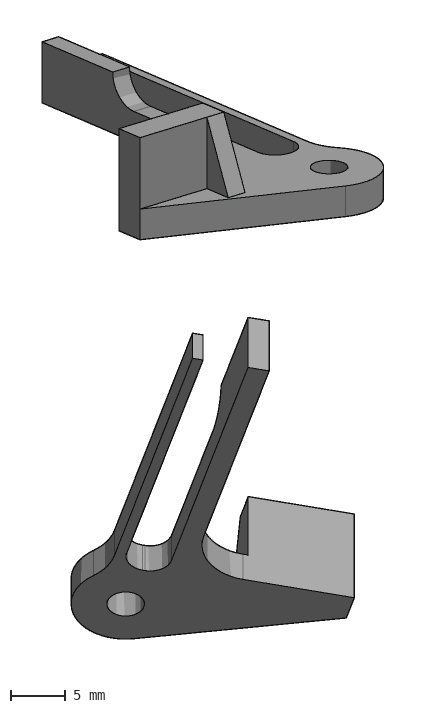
import cadquery as cq
import math

total_length = 40.2
plate_thickness = 3.0

boss_radius = 5.0
hole_diameter = 3.4
boss_x = total_length - boss_radius
boss_y = 20.0

thin_arm_width = 1.0
thick_arm_width = 2.0
thick_arm_bottom = 15.47
slot_bottom = thick_arm_bottom + thick_arm_width
slot_width = 4.2
slot_top = slot_bottom + slot_width
thin_arm_top = slot_top + thin_arm_width
slot_end = 30.2
slot_corner_radius = 2.0
boss_blend_radius = 5.0

pad_height = 6.0
pad_length = 10.0
pad_fillet = pad_height - plate_thickness

wall_x = 29.18
wall_thickness = 2.97
wall_length = 10.0
wall_height = 10.0
wall_back = wall_x + wall_thickness
inner_corner_radius = 5.0
rib_length = 3.0
rib_thickness = 2.0


def box(x, y, length, width, height):
    """Box standing on Z = 0 with its low corner at (x, y)."""
    return cq.Workplane("XY").box(length, width, height, centered=False).translate((x, y, 0))


def boss_point(angle):
    """Point on the boss rim at the given angle from +X."""
    return (boss_x + boss_radius * math.cos(angle), boss_y + boss_radius * math.sin(angle))


def make_plate():
    blend_y = thin_arm_top + boss_blend_radius
    centre_distance = boss_radius + boss_blend_radius
    blend_x = boss_x - math.sqrt(centre_distance**2 - (blend_y - boss_y) ** 2)
    blend_angle = math.atan2(blend_y - boss_y, blend_x - boss_x)
    blend_mid_angle = (blend_angle - math.pi - math.pi / 2) / 2
    blend_mid = (
        blend_x + boss_blend_radius * math.cos(blend_mid_angle),
        blend_y + boss_blend_radius * math.sin(blend_mid_angle),
    )

    foot_distance = math.hypot(boss_x - wall_back, boss_y)
    foot_angle = math.atan2(-boss_y, wall_back - boss_x)
    tangent_angle = foot_angle + math.acos(boss_radius / foot_distance)

    outline = (
        cq.Workplane("XY")
        .moveTo(0, thick_arm_bottom)
        .lineTo(wall_x - inner_corner_radius, thick_arm_bottom)
        .radiusArc((wall_x, thick_arm_bottom - inner_corner_radius), inner_corner_radius)
        .lineTo(wall_x, 0)
        .lineTo(wall_back, 0)
        .lineTo(*boss_point(tangent_angle))
        .threePointArc(boss_point((tangent_angle + blend_angle) / 2), boss_point(blend_angle))
        .threePointArc(blend_mid, (blend_x, thin_arm_top))
        .lineTo(0, thin_arm_top)
        .close()
    )
    plate = outline.extrude(plate_thickness)
    slot = box(0, slot_bottom, slot_end, slot_width, plate_thickness)
    slot = slot.edges("|Z and >X").fillet(slot_corner_radius)
    hole = (
        cq.Workplane("XY").center(boss_x, boss_y).circle(hole_diameter / 2).extrude(plate_thickness)
    )
    return plate.cut(slot).cut(hole)


def make_pad():
    """Raised end of the thick arm, with a concave fillet down to the plate."""
    return (
        cq.Workplane("XZ", origin=(0, slot_bottom, 0))
        .lineTo(pad_length + pad_fillet, 0)
        .lineTo(pad_length + pad_fillet, plate_thickness)
        .radiusArc((pad_length, pad_height), pad_fillet)
        .lineTo(0, pad_height)
        .close()
        .extrude(thick_arm_width)
    )


def make_rib():
    """Triangular rib behind the wall, flush with the wall's inner end."""
    return (
        cq.Workplane("XZ", origin=(0, wall_length, 0))
        .moveTo(wall_back, plate_thickness)
        .lineTo(wall_back + rib_length, plate_thickness)
        .lineTo(wall_back, wall_height)
        .close()
        .extrude(rib_thickness)
    )


wall = box(wall_x, 0, wall_thickness, wall_length, wall_height)
result = make_plate().union(make_pad()).union(wall).union(make_rib())